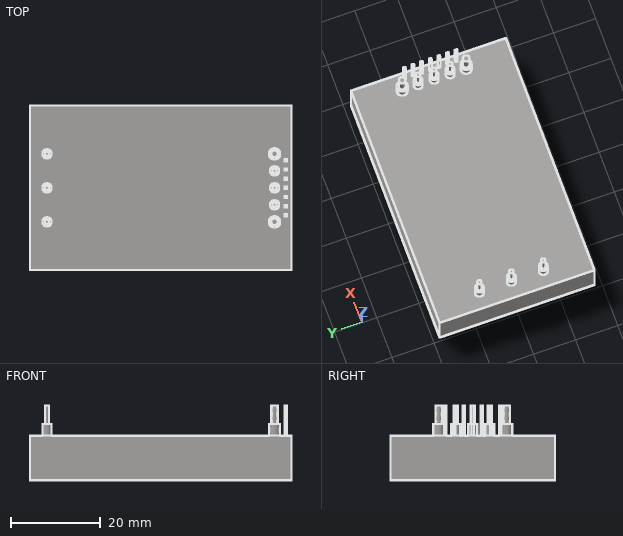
import cadquery as cq

body_length = 58.4
body_width = 36.8
body_height = 10.0
overall_height = 16.75

pin_length = overall_height - body_height
collar_height = 2.6
small_pin_diameter = 1.0
small_collar_diameter = 2.05
large_pin_diameter = 1.5
large_collar_diameter = 2.5

row_spacing = 50.8
left_row_x = -row_spacing / 2
right_row_x = row_spacing / 2
outer_pin_y = 7.6
inner_pin_y = outer_pin_y / 2

signal_count = 7
signal_pitch = 2.05
signal_side = 0.5
signal_x = right_row_x + 2.5


def collared_pin(x, y, pin_diameter, collar_diameter):
    """Round pin standing on the body with a wider collar at its foot."""
    base = cq.Workplane("XY").workplane(offset=body_height).center(x, y)
    collar = base.circle(collar_diameter / 2).extrude(collar_height)
    pin = base.circle(pin_diameter / 2).extrude(pin_length)
    return collar.union(pin)


result = cq.Workplane("XY").box(body_length, body_width, body_height, centered=(True, True, False))

for y in (-outer_pin_y, 0, outer_pin_y):
    result = result.union(collared_pin(left_row_x, y, small_pin_diameter, small_collar_diameter))

for y in (-inner_pin_y, 0, inner_pin_y):
    result = result.union(collared_pin(right_row_x, y, small_pin_diameter, small_collar_diameter))
for y in (-outer_pin_y, outer_pin_y):
    result = result.union(collared_pin(right_row_x, y, large_pin_diameter, large_collar_diameter))

signal_pins = (
    cq.Workplane("XY")
    .workplane(offset=body_height)
    .center(signal_x, 0)
    .rarray(0.6, signal_pitch, 1, signal_count)
    .rect(signal_side, signal_side)
    .extrude(pin_length)
)
result = result.union(signal_pins)